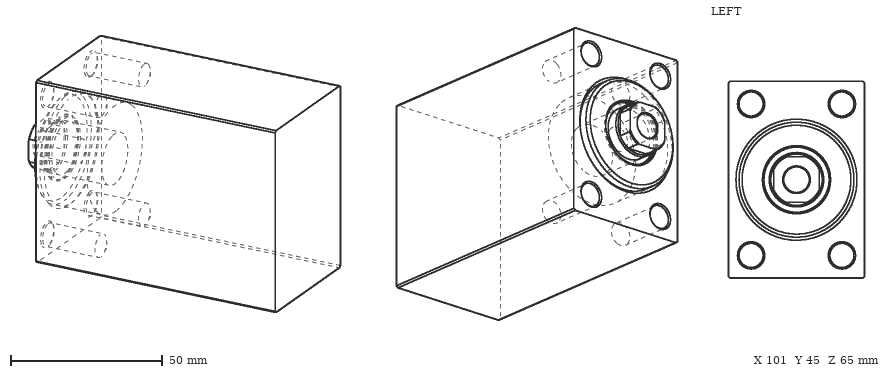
import cadquery as cq
import math

overall_length = 101.0
housing_length = 90.0
housing_width = 45.0
housing_height = 65.0
edge_chamfer = 0.6

drill_point_angle = 118.0
mount_spacing_y = 30.0
mount_spacing_z = 50.0
mount_hole_diameter = 8.0
mount_hole_chamfer = 0.5
mount_hole_depth = 20.2
rod_hole_diameter = 8.5
rod_hole_chamfer = 0.3
rod_hole_depth = 15.2

gland_diameter = 38.0
gland_length = 20.2
gland_protrusion = 2.9
gland_chamfer = 1.0
bore_mouth_chamfer = 1.0

outer_recess_diameter = 22.5
outer_recess_depth = 0.5
inner_recess_diameter = 21.5
inner_recess_depth = 1.4

rod_diameter = 18.0
rod_chamfer = 0.5
rod_protrusion = overall_length - housing_length
neck_diameter = 17.1
neck_length = 5.0
neck_across_flats = 15.0
neck_chamfer = 0.3

gland_front = -gland_protrusion
gland_back = gland_front + gland_length
rod_front = -rod_protrusion
neck_back = rod_front + neck_length


def cylinder(start_x, end_x, diameter):
    """Cylinder on the X axis from start_x to end_x."""
    return cq.Workplane("YZ", origin=(start_x, 0, 0)).circle(diameter / 2).extrude(end_x - start_x)


def revolved(profile):
    """Solid of revolution about the X axis from (x, radius) points."""
    return cq.Workplane("XY").polyline(profile).close().revolve(360, (0, 0, 0), (1, 0, 0))


def countersink(start_x, hole_diameter, chamfer):
    """Cutter that widens a hole on the X axis by a 45 degree chamfer at start_x."""
    hole_radius = hole_diameter / 2
    end_x = start_x + chamfer
    return revolved([(start_x, 0), (start_x, hole_radius + chamfer), (end_x, hole_radius), (end_x, 0)])


def drilled_hole(start_x, diameter, depth, mouth_chamfer):
    """Cutter for a blind hole on the X axis with a countersunk mouth and a conical bottom."""
    radius = diameter / 2
    shoulder_x = start_x + depth
    tip_x = shoulder_x + radius / math.tan(math.radians(drill_point_angle / 2))
    drill = revolved([(start_x, 0), (start_x, radius), (shoulder_x, radius), (tip_x, 0)])
    return drill.union(countersink(start_x, diameter, mouth_chamfer))


def make_housing():
    block = cq.Workplane("XY").box(
        housing_length, housing_width, housing_height, centered=(False, True, True)
    )
    block = block.edges("|X").chamfer(edge_chamfer)
    block = block.cut(cylinder(0, gland_back, gland_diameter))
    block = block.cut(countersink(0, gland_diameter, bore_mouth_chamfer))
    mount_hole = drilled_hole(0, mount_hole_diameter, mount_hole_depth, mount_hole_chamfer)
    for side_y in (-1, 1):
        for side_z in (-1, 1):
            place = (0, side_y * mount_spacing_y / 2, side_z * mount_spacing_z / 2)
            block = block.cut(mount_hole.translate(place))
    return block


def make_gland():
    gland = cylinder(gland_front, gland_back, gland_diameter)
    gland = gland.faces("<X").chamfer(gland_chamfer)
    gland = gland.cut(cylinder(gland_front, gland_back, rod_diameter))
    gland = gland.cut(cylinder(gland_front, gland_front + outer_recess_depth, outer_recess_diameter))
    return gland.cut(cylinder(gland_front, gland_front + inner_recess_depth, inner_recess_diameter))


def make_rod():
    shaft = cylinder(neck_back, gland_back, rod_diameter).faces("<X").chamfer(rod_chamfer)
    neck = cylinder(rod_front, neck_back, neck_diameter).faces("<X").chamfer(neck_chamfer)
    flats = cq.Workplane("XY", origin=(rod_front, 0, 0)).box(
        neck_length, neck_across_flats, neck_across_flats, centered=(False, True, True)
    )
    rod = shaft.union(neck.intersect(flats))
    return rod.cut(drilled_hole(rod_front, rod_hole_diameter, rod_hole_depth, rod_hole_chamfer))


housing = make_housing()
gland = make_gland()
rod = make_rod()

result = cq.Compound.makeCompound([housing.val(), gland.val(), rod.val()])